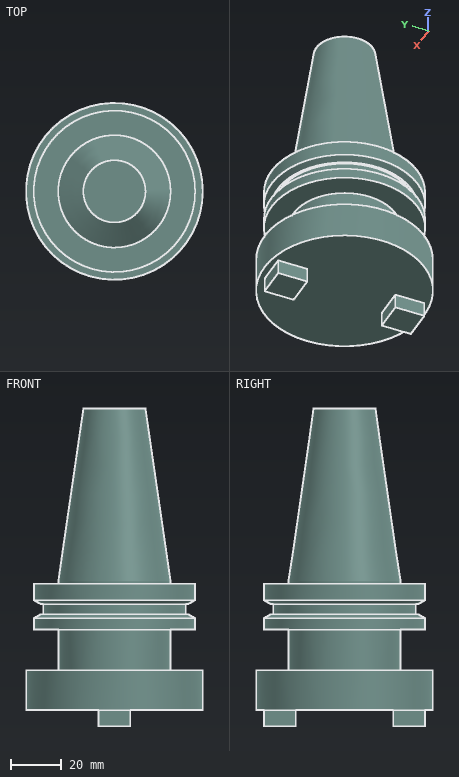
import cadquery as cq

total_height = 125.5
key_height = 6.4
disk_height = 15.8
neck_height = 15.9
lower_rim_height = 4.5
groove_bevel_height = 1.6
groove_floor_height = 3.9
upper_rim_height = 6.5
collar_height = 1.0

disk_diameter = 69.9
flange_diameter = 63.7
groove_bevel_root_diameter = 58.2
groove_diameter = 56.5
neck_diameter = 44.4
taper_tip_diameter = 24.6

key_side = 12.7
key_offset = (flange_diameter - key_side) / 2

disk_top = key_height + disk_height
flange_bottom = disk_top + neck_height
lower_rim_top = flange_bottom + lower_rim_height
groove_bottom = lower_rim_top + groove_bevel_height
groove_top = groove_bottom + groove_floor_height
upper_rim_bottom = groove_top + groove_bevel_height
flange_top = upper_rim_bottom + upper_rim_height
taper_bottom = flange_top + collar_height


def turned_body():
    """Disk, neck, grooved flange and taper shank revolved about Z."""
    disk_radius = disk_diameter / 2
    flange_radius = flange_diameter / 2
    bevel_root_radius = groove_bevel_root_diameter / 2
    groove_radius = groove_diameter / 2
    neck_radius = neck_diameter / 2
    half_profile = [
        (0, key_height),
        (disk_radius, key_height),
        (disk_radius, disk_top),
        (neck_radius, disk_top),
        (neck_radius, flange_bottom),
        (flange_radius, flange_bottom),
        (flange_radius, lower_rim_top),
        (bevel_root_radius, groove_bottom),
        (groove_radius, groove_bottom),
        (groove_radius, groove_top),
        (bevel_root_radius, groove_top),
        (flange_radius, upper_rim_bottom),
        (flange_radius, flange_top),
        (neck_radius, flange_top),
        (neck_radius, taper_bottom),
        (taper_tip_diameter / 2, total_height),
        (0, total_height),
    ]
    return cq.Workplane("XZ").polyline(half_profile).close().revolve(360, (0, 0), (0, 1))


def drive_keys():
    """Two square keys on opposite sides of the axis along Y."""
    return (
        cq.Workplane("XY")
        .pushPoints([(0, -key_offset), (0, key_offset)])
        .rect(key_side, key_side)
        .extrude(key_height)
    )


result = turned_body().union(drive_keys())